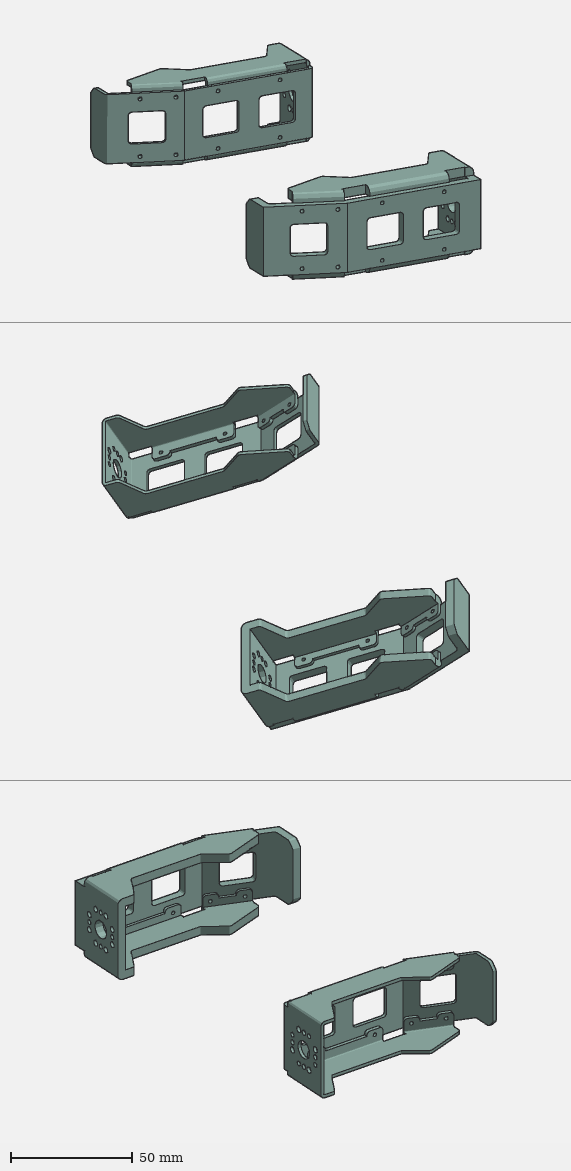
import cadquery as cq
import math


THICK_SHIFT_X = 140.3
THICK_DROP = 5.0

FLANGE_EDGE_X = 22.8
BEND_Y = -59.3
SLOPE_ANGLE = 20
NECK_X = 11.9
HORN_Y = -6.5
NECK_START_Y = -13.5
NECK_END_Y = -49.1
NOSE = (4.8, -59.2)
TOE_X = 11.5
OUTLINE_RADIUS = 1.7

STRIP_HALF_WIDTH = 15.1
FOOT_FREE_X = 2.7
FOOT_CHAMFER = 3.0
FOOT_CHAMFER_ROUND = 1.5
END_PLATE_STEP_X = 23.5

MAIN_TAB_START = 11.0
MAIN_TAB_LENGTH = 37.2
MAIN_LEG_LENGTH = 8.2
SLOPE_TAB_START = -0.5
SLOPE_TAB_LENGTH = 21.5
SLOPE_LEG_LENGTH = 7.0
TAB_LEG_RADIUS = 1.7
NOTCH_DEPTH = 2.0
RIVET_DIAMETER = 1.6
MAIN_RIVET_INSET = 4.0
SLOPE_RIVET_INSET = 3.2
RIVET_Z = 12.5

WINDOW_HEIGHT = 14.0
WINDOW_RADIUS = 1.5
MAIN_WINDOW_LENGTH = 17.0
MAIN_WINDOW_CENTERS = (16.5, 42.9)
SLOPE_WINDOW_LENGTH = 15.6
SLOPE_WINDOW_CENTER = 14.8

HUB_X = 11.9
HUB_DIAMETER = 8.0
HOLE_ROW_OFFSET = 8.0
HOLE_PITCH = 3.5

CUT_REACH = 34.0

slope = math.radians(SLOPE_ANGLE)


def place_on_main(shape):
    """Move a shape from the strip frame (x off the flange edge, -y along it) to the main run."""
    return shape.translate((FLANGE_EDGE_X, 0, 0))


def place_on_slope(shape):
    """Move a shape from the strip frame to the sloping run, which starts at the bend."""
    turned = shape.rotate((0, 0, 0), (0, 0, 1), -SLOPE_ANGLE)
    return turned.translate((FLANGE_EDGE_X, BEND_Y, 0))


def with_mirror(shape):
    return shape.union(shape.mirror("XY"))


def bend_point(offset):
    """Bend of a line that runs at this distance outside the flange edge."""
    return (FLANGE_EDGE_X + offset, BEND_Y - offset * math.tan(slope / 2))


def slope_point(offset, y):
    """Where the sloping line at this distance outside the flange edge reaches y."""
    bend_x, bend_y = bend_point(offset)
    return (bend_x - (bend_y - y) * math.tan(slope), y)


def round_upright(solid, points, radius):
    """Round the upright edges that stand at the given points."""
    for x, y in points:
        nearest = cq.selectors.NearestToPointSelector((x, y, 0))
        solid = solid.edges("|Z").edges(nearest).fillet(radius)
    return solid


def flange_pair(sheet, half_height):
    slope_tab_end = SLOPE_TAB_START + SLOPE_TAB_LENGTH
    heel = slope_point(0, BEND_Y - slope_tab_end * math.cos(slope))
    toe = (TOE_X, heel[1])
    corners = [
        toe,
        NOSE,
        (NECK_X, NECK_END_Y),
        (NECK_X, NECK_START_Y),
        (0, HORN_Y),
    ]
    outline = [(0, sheet / 2), (FLANGE_EDGE_X, sheet / 2), (FLANGE_EDGE_X, BEND_Y), heel, *corners]
    flange = cq.Workplane("XY").polyline(outline).close().extrude(sheet)
    flange = round_upright(flange, corners, OUTLINE_RADIUS)
    return with_mirror(flange.translate((0, 0, half_height - sheet)))


def end_plate_with_flanges(sheet, half_height, bend_radius, inner_radius):
    plate = cq.Workplane("XY").box(END_PLATE_STEP_X, sheet, 2 * half_height, centered=(False, True, True))
    shell = plate.union(flange_pair(sheet, half_height)).edges("|X and >Y").fillet(bend_radius)
    if inner_radius:
        for side in (1, -1):
            corner = (HUB_X, -sheet / 2, side * (half_height - sheet))
            shell = shell.edges("|X").edges(cq.selectors.NearestToPointSelector(corner)).fillet(inner_radius)
    return shell


def strip(end_sheet, sheet, gap, foot_inner_y, outer_radius, inner_radius):
    top_y = end_sheet / 2
    foot_outer_y = foot_inner_y - sheet
    outer = gap + sheet
    top_outer = (FLANGE_EDGE_X + outer, top_y)
    top_inner = (FLANGE_EDGE_X + gap, -top_y)
    foot_outer = slope_point(outer, foot_outer_y)
    foot_inner = slope_point(gap, foot_inner_y)
    outline = [
        (FLANGE_EDGE_X, top_y),
        top_outer,
        bend_point(outer),
        foot_outer,
        (FOOT_FREE_X, foot_outer_y),
        (FOOT_FREE_X, foot_inner_y),
        foot_inner,
        bend_point(gap),
        top_inner,
        (FLANGE_EDGE_X, -top_y),
    ]
    body = cq.Workplane("XY").polyline(outline).close().extrude(STRIP_HALF_WIDTH, both=True)
    body = body.edges("|Y and <X").chamfer(FOOT_CHAMFER)
    body = body.edges("|Y and <X").fillet(FOOT_CHAMFER_ROUND)
    for side in (1, -1):
        chamfer_end = (FOOT_FREE_X + FOOT_CHAMFER, foot_outer_y, side * STRIP_HALF_WIDTH)
        nearest = cq.selectors.NearestToPointSelector(chamfer_end)
        body = body.edges("|Y").edges(nearest).fillet(FOOT_CHAMFER_ROUND)
    if outer_radius:
        body = round_upright(body, [top_outer, foot_outer], outer_radius)
        body = round_upright(body, [top_inner], inner_radius)
    return round_upright(body, [foot_inner], inner_radius or OUTLINE_RADIUS)


def tab_pair(flange_sheet, half_height, sheet, face, roll_radius, inner_radius, leg_z, length, leg_length):
    """A flange edge rolled over into two legs joined by a bridge, in the strip frame."""
    bottom_z = half_height - flange_sheet
    profile = [
        (0, half_height),
        (face, half_height),
        (face, leg_z),
        (face - sheet, leg_z),
        (face - sheet, bottom_z),
        (0, bottom_z),
    ]
    tab = cq.Workplane("XZ").polyline(profile).close().extrude(length)
    tab = tab.edges("|Y and >X and >Z").fillet(roll_radius)
    if inner_radius:
        inside = cq.selectors.NearestToPointSelector((face - sheet, -length / 2, bottom_z))
        tab = tab.edges("|Y").edges(inside).fillet(inner_radius)
    notch_length = length - 2 * leg_length
    notch = cq.Workplane("XY").box(2 * face, notch_length, NOTCH_DEPTH, centered=(True, True, False))
    tab = tab.cut(notch.translate((face, -length / 2, leg_z)))
    tab = tab.edges("|X and <Z").fillet(TAB_LEG_RADIUS)
    return with_mirror(tab)


def rivet_holes(tab_start, tab_length, inset):
    distances = (tab_start + inset, tab_start + tab_length - inset)
    points = [(-distance, side * RIVET_Z) for distance in distances for side in (1, -1)]
    return cq.Workplane("YZ").pushPoints(points).circle(RIVET_DIAMETER / 2).extrude(CUT_REACH)


def windows(centers, length):
    points = [(-center, 0) for center in centers]
    cutter = cq.Workplane("YZ").pushPoints(points).rect(length, WINDOW_HEIGHT).extrude(CUT_REACH)
    return cutter.edges("|X").fillet(WINDOW_RADIUS)


def end_plate_holes(sheet, row_diameters):
    """The hub hole and a row of three holes on each of its four sides, a quarter turn apart."""
    def drill(x, z, diameter):
        return cq.Workplane("XZ").center(x, z).circle(diameter / 2).extrude(sheet, both=True)

    cutter = drill(0, 0, HUB_DIAMETER)
    for step, diameter in zip((-1, 0, 1), row_diameters):
        hole = drill(HOLE_ROW_OFFSET, step * HOLE_PITCH, diameter)
        for turn in (0, 90, 180, 270):
            cutter = cutter.union(hole.rotate((0, 0, 0), (0, 1, 0), turn))
    return cutter.translate((HUB_X, 0, 0))


def bracket(
    sheet, half_height, strip_sheet, strip_gap, foot_inner_y, tab_sheet, tab_face, roll_radius, leg_z,
    end_bend_radius, strip_outer_radius, inner_radius, row_diameters,
):
    def tabs(start, length, leg_length):
        pair = tab_pair(
            sheet, half_height, tab_sheet, tab_face, roll_radius, inner_radius, leg_z, length, leg_length
        )
        return pair.translate((0, -start, 0))

    main_tabs = tabs(MAIN_TAB_START, MAIN_TAB_LENGTH, MAIN_LEG_LENGTH)
    slope_tabs = tabs(SLOPE_TAB_START, SLOPE_TAB_LENGTH, SLOPE_LEG_LENGTH)
    main_rivets = rivet_holes(MAIN_TAB_START, MAIN_TAB_LENGTH, MAIN_RIVET_INSET)
    slope_rivets = rivet_holes(SLOPE_TAB_START, SLOPE_TAB_LENGTH, SLOPE_RIVET_INSET)
    main_windows = windows(MAIN_WINDOW_CENTERS, MAIN_WINDOW_LENGTH)
    slope_window = windows([SLOPE_WINDOW_CENTER], SLOPE_WINDOW_LENGTH)

    body = end_plate_with_flanges(sheet, half_height, end_bend_radius, inner_radius)
    body = body.union(strip(sheet, strip_sheet, strip_gap, foot_inner_y, strip_outer_radius, inner_radius))
    body = body.union(place_on_main(main_tabs)).union(place_on_slope(slope_tabs))

    body = body.cut(place_on_main(main_rivets)).cut(place_on_slope(slope_rivets))
    body = body.cut(place_on_main(main_windows)).cut(place_on_slope(slope_window))
    return body.cut(end_plate_holes(sheet, row_diameters))


thin_bracket = bracket(
    sheet=1.5,
    half_height=18.0,
    strip_sheet=1.7,
    strip_gap=2.5,
    foot_inner_y=-89.3,
    tab_sheet=1.7,
    tab_face=2.5,
    roll_radius=2.0,
    leg_z=10.0,
    end_bend_radius=2.2,
    strip_outer_radius=2.0,
    inner_radius=0.5,
    row_diameters=(2.7, 2.2, 2.0),
)

thick_bracket = bracket(
    sheet=4.0,
    half_height=19.0,
    strip_sheet=3.9,
    strip_gap=3.0,
    foot_inner_y=-89.6,
    tab_sheet=2.0,
    tab_face=3.7,
    roll_radius=3.0,
    leg_z=9.5,
    end_bend_radius=2.7,
    strip_outer_radius=0,
    inner_radius=0,
    row_diameters=(2.5, 2.0, 2.5),
).translate((THICK_SHIFT_X, 0, -THICK_DROP))

result = cq.Compound.makeCompound([thin_bracket.val(), thick_bracket.val()])